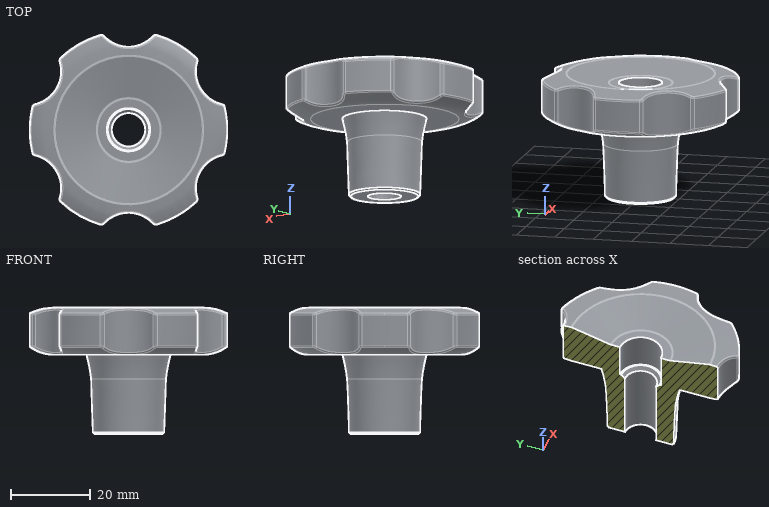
import cadquery as cq
import math

HEAD_HEIGHT = 12.0
HEAD_RADIUS = 25.0
CROWN_RADIUS = 18.75
TOP_SHOULDER_DROP = 1.5
BOTTOM_SHOULDER_RISE = 2.1

SCALLOP_COUNT = 6
SCALLOP_RADIUS = 8.5
SCALLOP_FLOOR_RADIUS = 21.0
SCALLOP_FIRST_ANGLE = 90.0
CORNER_FILLET = 1.0
RIM_FILLET = 0.5

DISH_DEPTH = 2.4
RING_RADIUS = 8.05
DISH_FILLET = 1.2

STEM_LENGTH = 20.0
FLARE_HEIGHT = 6.0
FLARE_RADIUS = 10.65
FLARE_BULGE = 0.12
STEM_TOP_RADIUS = 9.5
STEM_END_RADIUS = 9.05
STEM_END_CHAMFER = 0.5

BORE_DIAMETER = 11.0
BORE_FLOOR_Z = 0.0
HOLE_DIAMETER = 8.38
HOLE_MOUTH_DIAMETER = 10.4


def revolve_about_z(outline):
    return outline.close().revolve(360, (0, 0, 0), (0, 1, 0))


def shoulder_midpoint(drop, face_z, direction):
    """Middle of the shoulder arc that leaves a flat face tangentially at CROWN_RADIUS."""
    run = HEAD_RADIUS - CROWN_RADIUS
    arc_radius = (run**2 + drop**2) / (2 * drop)
    half_angle = math.asin(run / arc_radius) / 2
    radius = CROWN_RADIUS + arc_radius * math.sin(half_angle)
    height = face_z + direction * arc_radius * (1 - math.cos(half_angle))
    return radius, height


def make_head():
    top_rim_z = HEAD_HEIGHT - TOP_SHOULDER_DROP
    bottom_middle = shoulder_midpoint(BOTTOM_SHOULDER_RISE, 0, 1)
    top_middle = shoulder_midpoint(TOP_SHOULDER_DROP, HEAD_HEIGHT, -1)
    outline = (
        cq.Workplane("XZ")
        .lineTo(CROWN_RADIUS, 0)
        .threePointArc(bottom_middle, (HEAD_RADIUS, BOTTOM_SHOULDER_RISE))
        .lineTo(HEAD_RADIUS, top_rim_z)
        .threePointArc(top_middle, (CROWN_RADIUS, HEAD_HEIGHT))
        .lineTo(0, HEAD_HEIGHT)
    )
    return revolve_about_z(outline)


def cut_scallops(head):
    center_radius = SCALLOP_FLOOR_RADIUS + SCALLOP_RADIUS
    cutters = (
        cq.Workplane("XY")
        .polarArray(center_radius, SCALLOP_FIRST_ANGLE, 360, SCALLOP_COUNT)
        .circle(SCALLOP_RADIUS)
        .extrude(HEAD_HEIGHT)
    )
    return head.cut(cutters)


def is_scallop_corner(edge):
    """True on the upright edges where a scallop meets the rim, not on the rim's seam on the X axis."""
    middle = edge.positionAt(0.5)
    seam_tolerance = 1e-3
    return abs(middle.y) > seam_tolerance


def is_on_rim(edge):
    """True on the edges that run along the lobes and scallops."""
    middle = edge.positionAt(0.5)
    return math.hypot(middle.x, middle.y) > (CROWN_RADIUS + SCALLOP_FLOOR_RADIUS) / 2


def round_rim(head):
    corners = head.edges("|Z").filter(is_scallop_corner)
    head = corners.fillet(CORNER_FILLET)
    return head.edges("not(|Z)").filter(is_on_rim).fillet(RIM_FILLET)


def cut_dish(head):
    ring_z = HEAD_HEIGHT - DISH_DEPTH
    outline = (
        cq.Workplane("XZ", origin=(0, 0, ring_z))
        .lineTo(RING_RADIUS, 0)
        .lineTo(CROWN_RADIUS, DISH_DEPTH)
        .lineTo(0, DISH_DEPTH)
    )
    head = head.cut(revolve_about_z(outline))
    return head.faces("%CONE").edges("%CIRCLE").fillet(DISH_FILLET)


def make_stem():
    flare_middle = ((FLARE_RADIUS + STEM_TOP_RADIUS) / 2 - FLARE_BULGE, -FLARE_HEIGHT / 2)
    outline = (
        cq.Workplane("XZ")
        .lineTo(FLARE_RADIUS, 0)
        .threePointArc(flare_middle, (STEM_TOP_RADIUS, -FLARE_HEIGHT))
        .lineTo(STEM_END_RADIUS, STEM_END_CHAMFER - STEM_LENGTH)
        .lineTo(STEM_END_RADIUS - STEM_END_CHAMFER, -STEM_LENGTH)
        .lineTo(0, -STEM_LENGTH)
    )
    return revolve_about_z(outline)


def make_bore():
    bore_radius = BORE_DIAMETER / 2
    hole_radius = HOLE_DIAMETER / 2
    mouth_radius = HOLE_MOUTH_DIAMETER / 2
    chamfer_depth = mouth_radius - hole_radius
    outline = (
        cq.Workplane("XZ")
        .moveTo(0, HEAD_HEIGHT)
        .lineTo(bore_radius, HEAD_HEIGHT)
        .lineTo(bore_radius, BORE_FLOOR_Z)
        .lineTo(mouth_radius, BORE_FLOOR_Z)
        .lineTo(hole_radius, BORE_FLOOR_Z - chamfer_depth)
        .lineTo(hole_radius, -STEM_LENGTH)
        .lineTo(0, -STEM_LENGTH)
    )
    return revolve_about_z(outline)


head = cut_dish(round_rim(cut_scallops(make_head())))
result = head.union(make_stem()).cut(make_bore())